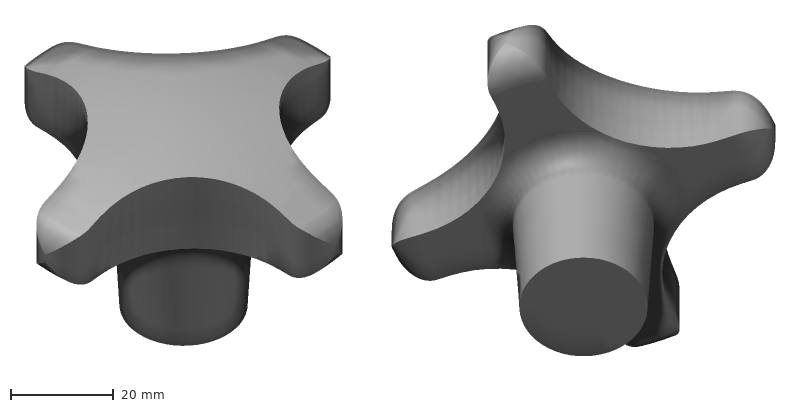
import cadquery as cq
import math

span = 80.0
total_height = 50.0
stem_height = 30.0
tip_reach = span / 2

arm_width = 11.8
scallop_radius = 24.8
dome_radius = 97.6
rim_radius = 6.6
rim_centre_x = tip_reach - math.sqrt(rim_radius**2 - (rim_radius - arm_width / 2) ** 2)
disc_radius = rim_centre_x + rim_radius

stem_base_radius = 12.5
stem_draft = 3.0
root_fillet = 5.6


def cross_prism():
    """Full-height four-armed prism with round tips and scalloped corners."""
    half_width = arm_width / 2
    tip_centre_y = half_width - rim_radius
    tip_start_angle = math.asin(-tip_centre_y / rim_radius)
    tip_mid_angle = (tip_start_angle + math.pi / 2) / 2
    tip_mid_x = rim_centre_x + rim_radius * math.cos(tip_mid_angle)
    tip_mid_y = tip_centre_y + rim_radius * math.sin(tip_mid_angle)
    scallop_end = half_width + scallop_radius
    scallop_mid = scallop_end - scallop_radius / math.sqrt(2)

    def turned(point, quarter):
        x, y = point
        for _ in range(quarter):
            x, y = -y, x
        return x, y

    outline = cq.Workplane("XY").moveTo(rim_centre_x, -half_width)
    for quarter in range(4):
        outline = (
            outline
            .threePointArc(turned((tip_mid_x, -tip_mid_y), quarter), turned((tip_reach, 0), quarter))
            .threePointArc(
                turned((tip_mid_x, tip_mid_y), quarter),
                turned((rim_centre_x, half_width), quarter),
            )
            .lineTo(*turned((scallop_end, half_width), quarter))
            .threePointArc(
                turned((scallop_mid, scallop_mid), quarter),
                turned((half_width, scallop_end), quarter),
            )
            .lineTo(*turned((half_width, rim_centre_x), quarter))
        )
    return outline.close().extrude(total_height)


def domed_disc():
    """Revolved disc whose rim arcs are tangent to the underside, side and dome."""
    dome_centre_z = total_height - dome_radius
    lower_centre_z = stem_height + rim_radius
    centre_distance = dome_radius - rim_radius
    upper_centre_z = dome_centre_z + math.sqrt(centre_distance**2 - rim_centre_x**2)
    rim_angle = math.asin(rim_centre_x / centre_distance)

    def dome_point(angle):
        return dome_radius * math.sin(angle), dome_centre_z + dome_radius * math.cos(angle)

    upper_mid_angle = (rim_angle + math.pi / 2) / 2
    upper_mid = (
        rim_centre_x + rim_radius * math.sin(upper_mid_angle),
        upper_centre_z + rim_radius * math.cos(upper_mid_angle),
    )
    lower_offset = rim_radius / math.sqrt(2)
    return (
        cq.Workplane("XZ")
        .moveTo(0, stem_height)
        .lineTo(rim_centre_x, stem_height)
        .threePointArc(
            (rim_centre_x + lower_offset, lower_centre_z - lower_offset),
            (disc_radius, lower_centre_z),
        )
        .lineTo(disc_radius, upper_centre_z)
        .threePointArc(upper_mid, dome_point(rim_angle))
        .threePointArc(dome_point(rim_angle / 2), (0, total_height))
        .close()
        .revolve(360, (0, 0), (0, 1))
    )


def stem():
    """Tapered stem with a concave flare tangent to the head's underside."""
    draft = math.radians(stem_draft)
    flare_centre_z = stem_height - root_fillet
    flare_start_z = flare_centre_z + root_fillet * math.sin(draft)
    flare_start_radius = stem_base_radius + flare_start_z * math.tan(draft)
    flare_centre_x = flare_start_radius + root_fillet * math.cos(draft)
    flare_mid_angle = (math.pi / 2 - draft) / 2
    flare_mid = (
        flare_centre_x - root_fillet * math.cos(flare_mid_angle),
        flare_centre_z + root_fillet * math.sin(flare_mid_angle),
    )
    return (
        cq.Workplane("XZ")
        .lineTo(stem_base_radius, 0)
        .lineTo(flare_start_radius, flare_start_z)
        .threePointArc(flare_mid, (flare_centre_x, stem_height))
        .lineTo(0, stem_height)
        .close()
        .revolve(360, (0, 0), (0, 1))
    )


result = domed_disc().union(stem()).intersect(cross_prism())